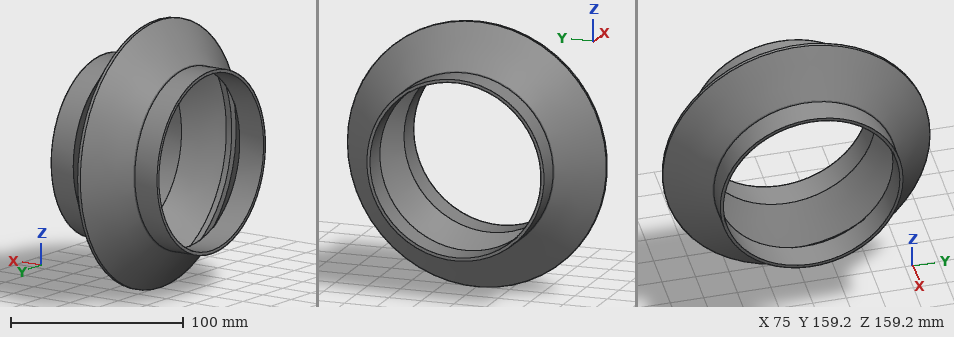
import cadquery as cq

half_length = 37.5
collar_radius = 54.5
collar_wall = 1.9
lip_start = 21.8
lip_end = 21.3
lip_radius = 54.8
rim_radius = 79.6
rim_width = 1.9
cone_wall = 2.5

ring_width = 3.8
ring_bore_radius = 71.0

half_rim = rim_width / 2
half_ring = ring_width / 2
bore_radius = collar_radius - collar_wall

cone_slope = (lip_end - half_rim) / (rim_radius - lip_radius)


def inner_cone_radius(x):
    """Radius of the cone's inner surface at distance x from the mid plane."""
    return rim_radius - (x + cone_wall - half_rim) / cone_slope


groove_radius = inner_cone_radius(0)
ring_side_radius = inner_cone_radius(half_ring)
inner_cone_foot = half_rim - cone_wall + (rim_radius - bore_radius) * cone_slope


def revolve_profile(points):
    """Revolve a closed (x, radius) outline about the X axis."""
    return cq.Workplane("XY").polyline(points).close().revolve(360, (0, 0, 0), (1, 0, 0))


def make_housing():
    outer_half = [
        (-half_length, collar_radius),
        (-lip_start, collar_radius),
        (-lip_end, lip_radius),
        (-half_rim, rim_radius),
    ]
    inner_half = [
        (inner_cone_foot, bore_radius),
        (half_length, bore_radius),
    ]
    outer = outer_half + [(-x, radius) for x, radius in reversed(outer_half)]
    inner = list(reversed(inner_half)) + [(0, groove_radius)] + [(-x, radius) for x, radius in inner_half]
    return revolve_profile(outer + inner)


def make_ring():
    return revolve_profile([
        (-half_ring, ring_bore_radius),
        (-half_ring, ring_side_radius),
        (0, groove_radius),
        (half_ring, ring_side_radius),
        (half_ring, ring_bore_radius),
    ])


housing = make_housing()
ring = make_ring()
result = cq.Compound.makeCompound([housing.val(), ring.val()])